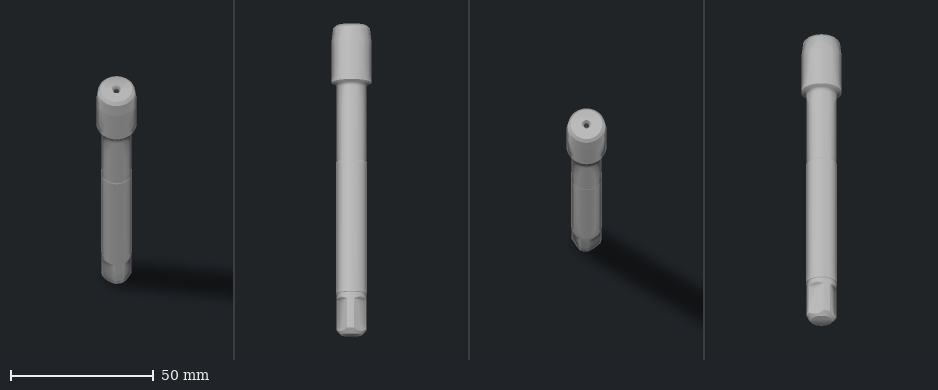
import cadquery as cq
import math

total_length = 110.0

head_radius = 14.2 / 2
head_nose_radius = 6.5
head_top_radius = 5.5
head_chamfer_height = 1.1
head_taper_height = 5.1
head_length = 20.1
head_underside_drop = 0.4
neck_fillet_width = 0.9
neck_fillet_height = 1.1

neck_radius = 10.7 / 2
shank_radius = 5.5
shank_top = 61.5
shank_bottom = 14.4
shank_bottom_chamfer = 0.2
shank_top_chamfer = 0.4
collar_radius = 10.6 / 2

across_flats = 9.0
flat_height = 12.1
end_radius = 3.8
end_chamfer_height = 1.6

hole_radius = 2.0 / 2
hole_depth = 4.4
countersink_radius = 1.6
countersink_half_angle = math.radians(30)
drill_half_angle = math.radians(59)


def make_body():
    """Revolve the full stepped outline about Z."""
    nose_height = total_length - head_chamfer_height
    head_shoulder = nose_height - head_taper_height
    head_bottom = total_length - head_length
    fillet_top = head_bottom - head_underside_drop
    fillet_bottom = fillet_top - neck_fillet_height
    return (
        cq.Workplane("XZ")
        .moveTo(0, 0)
        .lineTo(end_radius, 0)
        .lineTo(collar_radius, end_chamfer_height)
        .lineTo(collar_radius, shank_bottom)
        .lineTo(shank_radius, shank_bottom + shank_bottom_chamfer)
        .lineTo(shank_radius, shank_top - shank_top_chamfer)
        .lineTo(neck_radius, shank_top)
        .lineTo(neck_radius, fillet_bottom)
        .tangentArcPoint((neck_radius + neck_fillet_width, fillet_top), relative=False)
        .lineTo(head_radius, head_bottom)
        .lineTo(head_radius, head_shoulder)
        .lineTo(head_nose_radius, nose_height)
        .lineTo(head_top_radius, total_length)
        .lineTo(0, total_length)
        .close()
        .revolve(360, (0, 0, 0), (0, 1, 0))
    )


def make_flat_cutter():
    """Block that cuts one flat on the +X side, with a 45 degree run-out at its top."""
    flat_distance = across_flats / 2
    outside = 2 * shank_radius
    runout = collar_radius - flat_distance
    return (
        cq.Workplane("XZ")
        .moveTo(flat_distance, 0)
        .lineTo(flat_distance, flat_height)
        .lineTo(collar_radius, flat_height + runout)
        .lineTo(outside, flat_height + runout)
        .lineTo(outside, 0)
        .close()
        .extrude(shank_radius, both=True)
    )


def make_centre_hole():
    """Countersunk drilled hole with a conical bottom."""
    countersink_depth = (countersink_radius - hole_radius) / math.tan(countersink_half_angle)
    tip_length = hole_radius / math.tan(drill_half_angle)
    return (
        cq.Workplane("XZ")
        .moveTo(0, total_length)
        .lineTo(countersink_radius, total_length)
        .lineTo(hole_radius, total_length - countersink_depth)
        .lineTo(hole_radius, total_length - hole_depth)
        .lineTo(0, total_length - hole_depth - tip_length)
        .close()
        .revolve(360, (0, 0, 0), (0, 1, 0))
    )


result = make_body().cut(make_centre_hole())
flat_cutter = make_flat_cutter()
for turn in (0, 90, 180, 270):
    result = result.cut(flat_cutter.rotate((0, 0, 0), (0, 0, 1), turn))